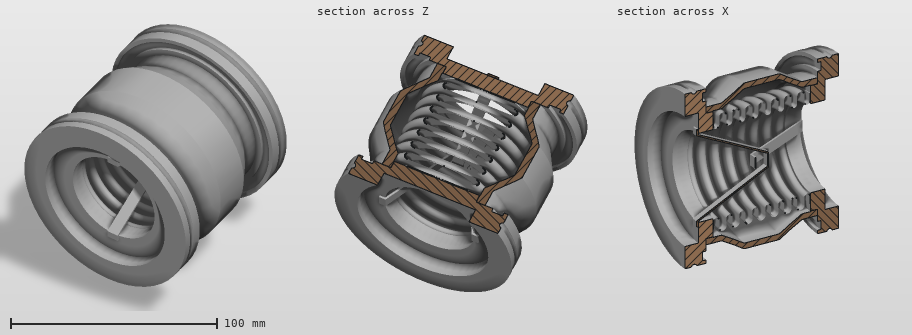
import cadquery as cq
import math

length = 87.0
half_length = length / 2

flange_radius = 47.4
flange_thickness = 12.05
flange_inner_y = half_length - flange_thickness
bore_radius = 24.0
recess_radius = 35.1
recess_depth = 7.5
recess_floor_y = half_length - recess_depth

rim_groove_width = 2.9
rim_groove_depth = 1.1
rim_groove_setback = 5.2
rim_groove_y = half_length - rim_groove_setback

trench_outer_radius = 45.4
trench_inner_radius = 40.8
trench_depth = 1.8

sleeve_neck_radius = 37.5
sleeve_bulge_radius = 45.1
sleeve_wall = 3.3
bulge_half_width = 9.9
neck_start_y = 22.7

hub_radius = sleeve_neck_radius - sleeve_wall
hub_end_y = 27.5

crest_count = 8
root_count = crest_count - 1
bellows_wall = 0.5
bellows_outer_radius = 32.3
half_round_radius = hub_end_y / (crest_count + root_count)
pitch = 4 * half_round_radius
crest_center_radius = bore_radius + half_round_radius
root_center_radius = bellows_outer_radius - bellows_wall - half_round_radius

strap_width = 6.0
strap_sheet = 1.0
strap_foot_y = recess_floor_y + strap_sheet
strap_foot_tip = 26.6
strap_foot_heel = 23.1
strap_tip_half_width = 4.1
strap_arm_angle = math.radians(26.1)


def revolve_about_y(profile):
    """Turn a closed profile, drawn with X as the negative radius, about the Y axis."""
    return profile.close().revolve(360, (0, 0, 0), (0, 1, 0))


def make_strap():
    """V strap in the YZ plane: feet on the -Y recess floor, tip beyond the centre."""
    bend_shift = strap_sheet * math.tan(math.pi / 4 - strap_arm_angle / 2)
    inner_tip_half_width = strap_tip_half_width - bend_shift
    arm_reach = (strap_foot_heel - inner_tip_half_width) / math.tan(strap_arm_angle)
    inner_tip_y = arm_reach - strap_foot_y
    upper_half = [
        (inner_tip_y, inner_tip_half_width),
        (-strap_foot_y, strap_foot_heel),
        (-strap_foot_y, strap_foot_tip),
        (-recess_floor_y, strap_foot_tip),
        (-recess_floor_y, strap_foot_heel + bend_shift),
        (inner_tip_y + strap_sheet, strap_tip_half_width),
    ]
    lower_half = [(y, -z) for y, z in reversed(upper_half)]
    outline = cq.Workplane("YZ").polyline(upper_half + lower_half).close()
    return outline.extrude(strap_width / 2, both=True)


def make_flange():
    """Flange at the -Y end, with the hub that carries the bore into the sleeve."""
    groove_edge = rim_groove_width / 2
    return revolve_about_y(
        cq.Workplane("XY")
        .moveTo(-recess_radius, -half_length)
        .lineTo(-flange_radius, -half_length)
        .lineTo(-flange_radius, -rim_groove_y - groove_edge)
        .threePointArc(
            (-flange_radius + rim_groove_depth, -rim_groove_y),
            (-flange_radius, -rim_groove_y + groove_edge),
        )
        .lineTo(-flange_radius, -flange_inner_y)
        .lineTo(-trench_outer_radius, -flange_inner_y)
        .lineTo(-trench_outer_radius, -flange_inner_y - trench_depth)
        .lineTo(-trench_inner_radius, -flange_inner_y - trench_depth)
        .lineTo(-trench_inner_radius, -flange_inner_y)
        .lineTo(-hub_radius, -flange_inner_y)
        .lineTo(-hub_radius, -hub_end_y)
        .lineTo(-bore_radius, -hub_end_y)
        .lineTo(-bore_radius, -recess_floor_y)
        .lineTo(-recess_radius, -recess_floor_y)
    )


def to_other_end(body):
    """Copy of a -Y end body at the +Y end, a quarter turn round so the straps cross."""
    return body.rotate((0, 0, 0), (1, 0, 0), 180).rotate((0, 0, 0), (0, 1, 0), 90)


def make_sleeve():
    """Bulged sleeve of constant radial wall between the two flanges."""
    outer = [
        (-sleeve_neck_radius, -flange_inner_y),
        (-sleeve_neck_radius, -neck_start_y),
        (-sleeve_bulge_radius, -bulge_half_width),
        (-sleeve_bulge_radius, bulge_half_width),
        (-sleeve_neck_radius, neck_start_y),
        (-sleeve_neck_radius, flange_inner_y),
    ]
    inner = [(x + sleeve_wall, y) for x, y in reversed(outer)]
    return revolve_about_y(cq.Workplane("XY").polyline(outer + inner))


def corrugate(profile, heading, crest_round, root_round):
    """Trace one side of the corrugated wall; heading is +1 or -1, the way it runs along Y."""
    for index in range(crest_count):
        crest_y = heading * (index - root_count / 2) * pitch
        profile = (
            profile.lineTo(-crest_center_radius, crest_y - heading * crest_round)
            .threePointArc(
                (-crest_center_radius + crest_round, crest_y),
                (-crest_center_radius, crest_y + heading * crest_round),
            )
        )
        if index < root_count:
            root_y = crest_y + heading * pitch / 2
            profile = (
                profile.lineTo(-root_center_radius, root_y - heading * root_round)
                .threePointArc(
                    (-root_center_radius - root_round, root_y),
                    (-root_center_radius, root_y + heading * root_round),
                )
            )
    return profile


def make_bellows():
    """Corrugated tube whose flat end walls rest on the two hub ends."""
    end_wall_y = hub_end_y - bellows_wall
    profile = cq.Workplane("XY").moveTo(-root_center_radius, -hub_end_y)
    profile = corrugate(profile, 1, half_round_radius, half_round_radius)
    profile = profile.lineTo(-root_center_radius, hub_end_y).lineTo(-root_center_radius, end_wall_y)
    profile = corrugate(
        profile, -1, half_round_radius - bellows_wall, half_round_radius + bellows_wall
    )
    return revolve_about_y(profile.lineTo(-root_center_radius, -end_wall_y))


front_strap = make_strap()
front_flange = make_flange()
back_strap = to_other_end(front_strap)
back_flange = to_other_end(front_flange)
sleeve = make_sleeve()
bellows = make_bellows()

result = cq.Compound.makeCompound(
    [
        front_flange.val(),
        back_flange.val(),
        front_strap.val(),
        back_strap.val(),
        sleeve.val(),
        bellows.val(),
    ]
)